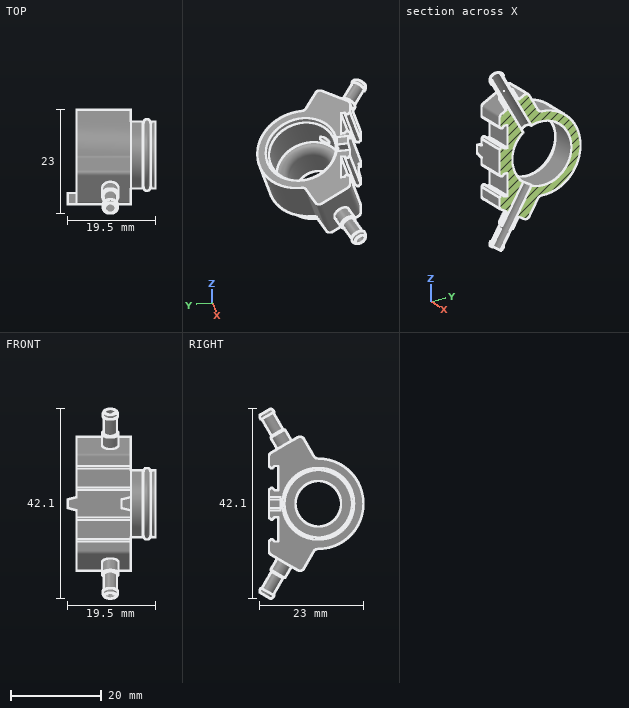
import cadquery as cq
import math


body_length = 12.1
ring_radius = 10.0
mount_face_y = -10.95
shoulder_distance = 15.03
nozzle_angle = 60.0
flank_offset = 4.4
shoulder_fillet = 1.0
flank_blend = 1.0

slot_floor_y = -8.9
slot_inner_z = 3.05
slot_outer_z = 8.35
lip_height = 0.65
lip_rounding = 0.25

key_length = 1.95
notch_depth = 2.1
key_root_width = 2.95
key_tip_width = 1.95
key_inner_y = -8.38

bore_diameter = 15.05
mouth_diameter = 16.15
mouth_chamfer_depth = 1.0
bore_depth = 9.35
throat_diameter = 10.0
throat_rounding = 2.0

spigot_diameter = 14.9
spigot_end_x = 17.55
groove_diameter = 14.3
groove_start_x = 14.7
groove_end_x = 16.6
seal_outer_diameter = 15.9
seal_thickness = 1.5

nozzle_x = 7.55
nozzle_root = 12.63
nozzle_base_diameter = 3.7
nozzle_tube_diameter = 3.0
nozzle_hole_diameter = 2.4
barb_diameter = 3.45
barb_tip_diameter = 2.8
base_end = 18.2
base_chamfer = 0.25
barb_start = 22.48
barb_rounding_start = 22.73
nozzle_end = 23.5


def nozzle_frame_point(along, across):
    """(Y, Z) of a point along the upper nozzle axis and across it toward the ring."""
    angle = math.radians(nozzle_angle)
    y = -along * math.cos(angle) + across * math.sin(angle)
    z = along * math.sin(angle) + across * math.cos(angle)
    return y, z


def make_body():
    """Ring joined to two shoulders, with the slopes square to the nozzles."""
    angle = math.radians(nozzle_angle)
    peak = nozzle_frame_point(shoulder_distance, flank_offset)
    foot = nozzle_frame_point(ring_radius * math.sin(angle) - 0.4, flank_offset)
    face_corner_z = (shoulder_distance + mount_face_y * math.cos(angle)) / math.sin(angle)
    upper = [foot, peak, (mount_face_y, face_corner_z)]
    lower = [(y, -z) for y, z in reversed(upper)]
    shoulders = cq.Workplane("YZ").polyline(upper + lower).close().extrude(body_length)
    corner_edges = cq.selectors.BoxSelector(
        (-0.4, mount_face_y - 0.4, -2 * ring_radius), (body_length + 0.4, peak[0] + 0.4, 2 * ring_radius)
    )
    shoulders = shoulders.edges("|X").edges(corner_edges).fillet(shoulder_fillet)
    body = cq.Workplane("YZ").circle(ring_radius).extrude(body_length).union(shoulders)

    along = math.sqrt(ring_radius**2 - flank_offset**2)
    for side in (1, -1):
        y, z = nozzle_frame_point(along, flank_offset)
        corner = cq.selectors.NearestToPointSelector((body_length / 2, y, side * z))
        body = body.edges("|X").edges(corner).fillet(flank_blend)
    return body


def make_slot():
    """Upper mounting slot, narrowed at its opening by two rounded lips."""
    middle_z = (slot_inner_z + slot_outer_z) / 2
    half_width = slot_outer_z - middle_z
    neck = half_width - lip_height
    crest_y = mount_face_y + lip_height
    lip_start_y = crest_y + lip_height
    slot = (
        cq.Workplane("YZ")
        .moveTo(slot_floor_y, middle_z - half_width)
        .lineTo(lip_start_y, middle_z - half_width)
        .lineTo(crest_y, middle_z - neck)
        .lineTo(mount_face_y, middle_z - half_width)
        .lineTo(mount_face_y, middle_z + half_width)
        .lineTo(crest_y, middle_z + neck)
        .lineTo(lip_start_y, middle_z + half_width)
        .lineTo(slot_floor_y, middle_z + half_width)
        .close()
        .extrude(body_length)
    )
    for crest_z in (middle_z - neck, middle_z + neck):
        crest = cq.selectors.NearestToPointSelector((body_length / 2, crest_y, crest_z))
        slot = slot.edges("|X").edges(crest).fillet(lip_rounding)
    return slot


def make_key(root_x, length):
    """Tapered key pointing toward -X, from its root to its tip."""
    tip_x = root_x - length
    outline = [
        (root_x, -key_root_width / 2),
        (tip_x, -key_tip_width / 2),
        (tip_x, key_tip_width / 2),
        (root_x, key_root_width / 2),
    ]
    return (
        cq.Workplane("XZ", origin=(0, key_inner_y, 0))
        .polyline(outline)
        .close()
        .extrude(key_inner_y - mount_face_y)
    )


def make_spigot():
    """Solid spigot with its groove and the sealing ring seated in it."""
    outline = [
        (0, 0),
        (0, spigot_diameter / 2),
        (groove_start_x, spigot_diameter / 2),
        (groove_start_x, groove_diameter / 2),
        (groove_end_x, groove_diameter / 2),
        (groove_end_x, spigot_diameter / 2),
        (spigot_end_x, spigot_diameter / 2),
        (spigot_end_x, 0),
    ]
    spigot = cq.Workplane("XY").polyline(outline).close().revolve(360, (0, 0, 0), (1, 0, 0))
    seal_x = (groove_start_x + groove_end_x) / 2
    seal_radius = (seal_outer_diameter - seal_thickness) / 2
    seal = (
        cq.Workplane("XY")
        .center(seal_x, seal_radius)
        .circle(seal_thickness / 2)
        .revolve(360, (0, -seal_radius, 0), (1, -seal_radius, 0))
    )
    return spigot.union(seal)


def make_bore():
    """Stepped bore: chamfered mouth, wide bore, then a rounded throat."""
    throat_radius = throat_diameter / 2
    bend = throat_rounding * (1 - math.sqrt(0.5))
    return (
        cq.Workplane("XY")
        .moveTo(0, 0)
        .lineTo(0, mouth_diameter / 2)
        .lineTo(mouth_chamfer_depth, bore_diameter / 2)
        .lineTo(bore_depth, bore_diameter / 2)
        .lineTo(bore_depth, throat_radius + throat_rounding)
        .threePointArc(
            (bore_depth + bend, throat_radius + bend),
            (bore_depth + throat_rounding, throat_radius),
        )
        .lineTo(spigot_end_x, throat_radius)
        .lineTo(spigot_end_x, 0)
        .close()
        .revolve(360, (0, 0, 0), (1, 0, 0))
    )


def place_nozzle(shape, side):
    """Tilt a shape built along +Z onto the upper (1) or lower (-1) nozzle axis."""
    tilt = 90 - side * nozzle_angle
    return shape.rotate((0, 0, 0), (1, 0, 0), tilt).translate((nozzle_x, 0, 0))


def make_nozzle():
    """Solid barbed nozzle along +Z, starting inside the body wall."""
    outline = [
        (0, nozzle_root),
        (nozzle_base_diameter / 2, nozzle_root),
        (nozzle_base_diameter / 2, base_end - base_chamfer),
        (nozzle_tube_diameter / 2, base_end),
        (nozzle_tube_diameter / 2, barb_start),
        (barb_diameter / 2, barb_start),
        (barb_diameter / 2, barb_rounding_start),
    ]
    return (
        cq.Workplane("XZ")
        .polyline(outline)
        .tangentArcPoint((barb_tip_diameter / 2, nozzle_end), relative=False)
        .lineTo(0, nozzle_end)
        .close()
        .revolve(360, (0, 0, 0), (0, 1, 0))
    )


nozzle = make_nozzle()
nozzle_hole = cq.Workplane("XY").circle(nozzle_hole_diameter / 2).extrude(nozzle_end)

upper_slot = make_slot()
lower_slot = upper_slot.mirror("XY")

result = make_body().cut(upper_slot).cut(lower_slot)
result = result.union(make_key(0, key_length)).cut(make_key(body_length, notch_depth))
result = result.union(make_spigot())
for nozzle_side in (1, -1):
    result = result.union(place_nozzle(nozzle, nozzle_side))
result = result.cut(make_bore())
for nozzle_side in (1, -1):
    result = result.cut(place_nozzle(nozzle_hole, nozzle_side))